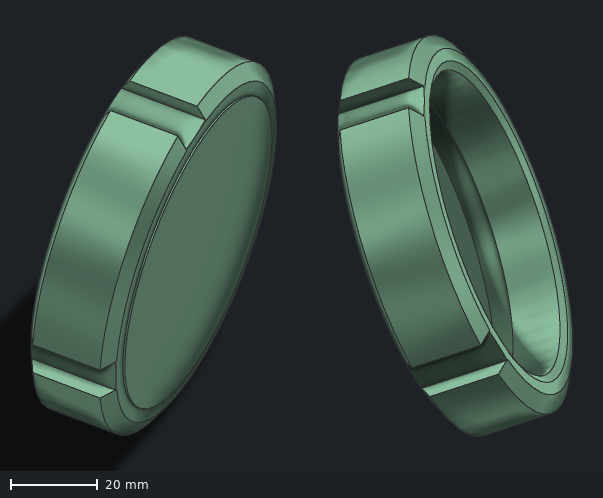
import cadquery as cq
import math

outer_diameter = 92.0
body_length = 22.0

face_diameter = 84.0
bevel_angle = 60.0

pad_diameter = 77.0
pad_height = 0.5

slot_count = 4
slot_width = 10.0
slot_floor_radius = face_diameter / 2

bore_diameter = 74.19
mouth_diameter = 78.0
mouth_chamfer_angle = 60.0
groove_diameter = 78.8
groove_width = 5.7
bore_depth = 18.7


def make_body():
    """Revolve the outer shape and its bevels, including the raised pad."""
    outer_radius = outer_diameter / 2
    face_radius = face_diameter / 2
    pad_radius = pad_diameter / 2
    bevel_length = (outer_radius - face_radius) / math.tan(math.radians(bevel_angle))
    total_length = body_length + pad_height
    profile = [
        (0, 0),
        (0, face_radius),
        (bevel_length, outer_radius),
        (body_length - bevel_length, outer_radius),
        (body_length, face_radius),
        (body_length, pad_radius),
        (total_length, pad_radius),
        (total_length, 0),
    ]
    return cq.Workplane("XY").polyline(profile).close().revolve(360, (0, 0), (1, 0))


def make_cavity():
    """Revolve the chamfered bore with its relief groove."""
    bore_radius = bore_diameter / 2
    mouth_radius = mouth_diameter / 2
    groove_radius = groove_diameter / 2
    mouth_length = (mouth_radius - bore_radius) / math.tan(math.radians(mouth_chamfer_angle))
    groove_start = bore_depth - groove_width
    profile = [
        (0, 0),
        (0, mouth_radius),
        (mouth_length, bore_radius),
        (groove_start, bore_radius),
        (groove_start, groove_radius),
        (bore_depth, groove_radius),
        (bore_depth, 0),
    ]
    return cq.Workplane("XY").polyline(profile).close().revolve(360, (0, 0), (1, 0))


def make_slot(angle):
    """Cutter for one spanner slot, turned about the X axis from +Z."""
    block_height = outer_diameter / 2
    block = (
        cq.Workplane("XY")
        .box(body_length, slot_width, block_height, centered=(False, True, False))
        .translate((0, 0, slot_floor_radius))
    )
    return block.rotate((0, 0, 0), (1, 0, 0), angle)


result = make_body().cut(make_cavity())
for index in range(slot_count):
    result = result.cut(make_slot(index * 360 / slot_count))